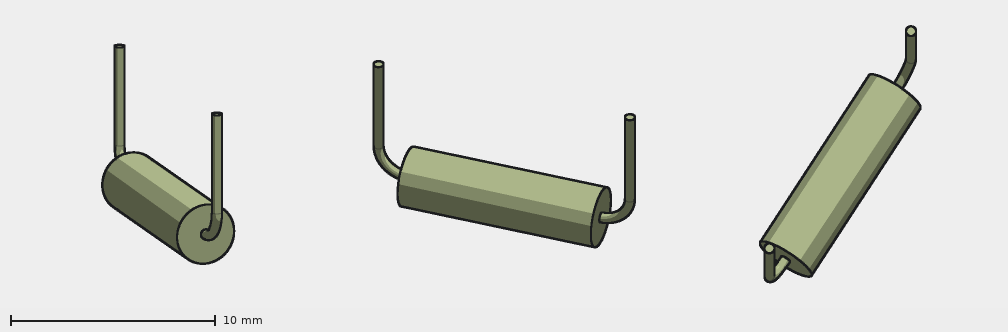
import cadquery as cq

body_length = 10.0
body_diameter = 3.0
lead_diameter = 0.5
bend_radius = 1.5
leg_length = 5.0

body_half_length = body_length / 2
leg_x = body_half_length + bend_radius
leg_top_z = bend_radius + leg_length


def make_body():
    """Plain cylinder centred on the origin, with its axis along X."""
    return (
        cq.Workplane("YZ")
        .workplane(offset=-body_half_length)
        .circle(body_diameter / 2)
        .extrude(body_length)
    )


def make_lead(side):
    """Round wire leaving one end face and bending upward; side is -1 or +1 along X."""
    path = (
        cq.Workplane("XZ")
        .moveTo(side * body_half_length, 0)
        .radiusArc((side * leg_x, bend_radius), -side * bend_radius)
        .lineTo(side * leg_x, leg_top_z)
    )
    return (
        cq.Workplane("YZ")
        .workplane(offset=side * body_half_length)
        .circle(lead_diameter / 2)
        .sweep(path)
    )


result = make_body()
for side in (-1, 1):
    result = result.union(make_lead(side))